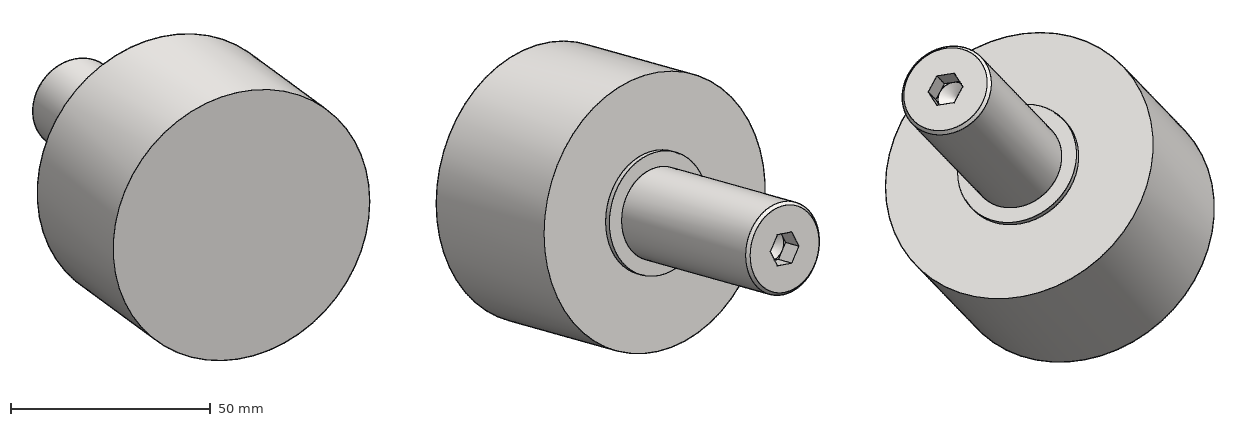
import cadquery as cq
import math

total_length = 93.5
roller_diameter = 72.0
roller_length = 42.45
collar_diameter = 32.0
collar_thickness = 1.5
stud_diameter = 24.0
stud_chamfer = 0.8
hex_across_flats = 8.0
hex_depth = 5.2

stud_end = -total_length / 2
roller_face = total_length / 2 - roller_length
collar_face = roller_face - collar_thickness
hex_across_corners = hex_across_flats / math.cos(math.pi / 6)
drill_tip_angle = 120.0


def cylinder_along_x(start, end, diameter):
    return cq.Workplane("YZ", origin=(start, 0, 0)).circle(diameter / 2).extrude(end - start)


def hex_socket():
    """Hexagonal recess, corners on the Y axis, ending in a drill-point cone."""
    prism = (
        cq.Workplane("YZ", origin=(stud_end, 0, 0))
        .polygon(6, hex_across_corners)
        .extrude(hex_depth)
    )
    cone_radius = hex_across_flats / 2
    cone_height = cone_radius / math.tan(math.radians(drill_tip_angle / 2))
    cone = cq.Solid.makeCone(
        cone_radius, 0, cone_height,
        pnt=cq.Vector(stud_end + hex_depth, 0, 0),
        dir=cq.Vector(1, 0, 0),
    )
    return prism.union(cq.Workplane(cone))


stud = cylinder_along_x(stud_end, collar_face, stud_diameter).faces("<X").chamfer(stud_chamfer)
collar = cylinder_along_x(collar_face, roller_face, collar_diameter)
roller = cylinder_along_x(roller_face, total_length / 2, roller_diameter)

result = stud.union(collar).union(roller).cut(hex_socket())